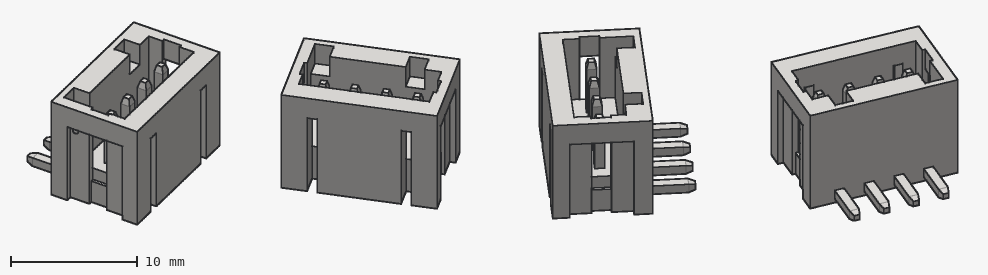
import cadquery as cq


body_width = 7.93
body_length = 12.62
body_height = 9.0
cavity_x_min = 2.01
cavity_x_max = 6.16
end_wall = 1.02
cavity_floor = 3.14
cavity_half_length = body_length / 2 - end_wall

window_top = 7.09
recess_x_min = 1.49
recess_x_max = 6.58
recess_depth = 0.48
slot_width = 1.58
groove_depth = 0.25
step_height = 2.05
groove_half_length = cavity_half_length + groove_depth

notch_x_min = 0.57
notch_width = 1.53
notch_floor = window_top
notch_y_starts = (-cavity_half_length, 2.4)

pin_count = 4
pin_pitch = 2.54
pin_size = 0.81
pin_tip_size = 0.49
pin_tip_length = 0.58
pin_x = 4.03
pin_top = 7.91
tail_z = 0.78
tail_reach = 3.57
pin_y_positions = [(i - (pin_count - 1) / 2) * pin_pitch for i in range(pin_count)]

mark_x = 1.95
mark_z = 6.59
mark_radius = 0.25
mark_height = 0.13


def block(x_min, x_max, y_min, y_max, z_min, z_max):
    """Axis-aligned box between opposite corners."""
    return cq.Workplane("XY").box(
        x_max - x_min, y_max - y_min, z_max - z_min, centered=False
    ).translate((x_min, y_min, z_min))


def end_wall_cuts():
    """Outside recess and stepped slot of the -Y end wall."""
    outer_y = -body_length / 2
    slot_x_min = pin_x - slot_width / 2
    slot_x_max = pin_x + slot_width / 2
    recess = block(recess_x_min, recess_x_max, outer_y, outer_y + recess_depth, 0, window_top)
    slot = block(slot_x_min, slot_x_max, outer_y, -groove_half_length, 0, window_top)
    groove = block(
        slot_x_min, slot_x_max, -groove_half_length, -cavity_half_length, step_height, body_height
    )
    return recess.union(slot).union(groove)


def tapered_bar(plane, length):
    """Square bar from the plane origin along its normal, tapering at the far end."""
    shank_length = length - pin_tip_length
    shank = cq.Workplane(plane).rect(pin_size, pin_size).extrude(shank_length)
    tip = (
        cq.Workplane(plane)
        .workplane(offset=shank_length)
        .rect(pin_size, pin_size)
        .workplane(offset=pin_tip_length)
        .rect(pin_tip_size, pin_tip_size)
        .loft(combine=True)
    )
    return shank.union(tip)


def right_angle_pin(y):
    """Upright contact and the horizontal tail that leaves through the -X face."""
    corner = (pin_x, y, tail_z)
    contact = tapered_bar(cq.Plane(origin=corner, xDir=(1, 0, 0), normal=(0, 0, 1)), pin_top - tail_z)
    tail = tapered_bar(cq.Plane(origin=corner, xDir=(0, 1, 0), normal=(-1, 0, 0)), pin_x + tail_reach)
    return contact.union(tail)


result = block(0, body_width, -body_length / 2, body_length / 2, 0, body_height)
result = result.cut(
    block(
        cavity_x_min, cavity_x_max, -cavity_half_length, cavity_half_length, cavity_floor, body_height
    )
)

for y_start in notch_y_starts:
    result = result.cut(
        block(notch_x_min, cavity_x_min, y_start, y_start + notch_width, notch_floor, body_height)
    )

near_end = end_wall_cuts()
result = result.cut(near_end).cut(near_end.mirror("XZ"))

for y in (pin_y_positions[0], pin_y_positions[-1]):
    result = result.cut(
        block(cavity_x_max, body_width, y - pin_size / 2, y + pin_size / 2, 0, window_top)
    )

ball_radius = (mark_radius**2 + mark_height**2) / (2 * mark_height)
recess_face_y = -body_length / 2 + recess_depth
ball_center_y = recess_face_y + ball_radius - mark_height
mark = cq.Workplane("XY").sphere(ball_radius).translate((mark_x, ball_center_y, mark_z))
result = result.union(mark)

for y in pin_y_positions:
    result = result.union(right_angle_pin(y))